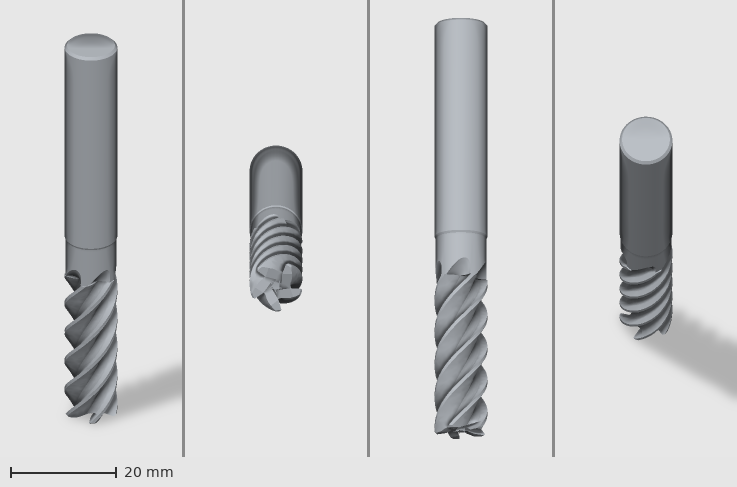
import cadquery as cq
import math

TOTAL_LENGTH = 80.0
SHANK_RADIUS = 5.0
SHANK_START = 38.4
SHANK_TOP_CHAMFER = 0.5
NECK_RADIUS = 4.8
NECK_TAPER_HEIGHT = 0.4

CUT_LENGTH = 30.0
CUT_RADIUS = SHANK_RADIUS
FLUTES = 5
FLUTE_PITCH = 360.0 / FLUTES
HELIX_ANGLE = 45.0
LEAD = 2 * math.pi * CUT_RADIUS / math.tan(math.radians(HELIX_ANGLE))
FIRST_EDGE_ANGLE = 36.0
TIP_CHAMFER = 0.3
DISH_HEIGHT = 0.3
DISH_RADIUS = CUT_RADIUS - TIP_CHAMFER

LAND_ANGLE = 10.0
FLANK_ANGLE = 26.0
FLANK_RADIUS = 3.9
HEEL_ANGLE = 47.0
HEEL_RADIUS = 2.8
CORE_ANGLE = 60.0
CORE_RADIUS = 2.8
RAKE_ANGLE = 72.0
RAKE_RADIUS = 3.6

GASH_INNER_RADIUS = 0.6
GASH_WIDTH = 2.9
GASH_HEIGHT = 1.8
GASH_LEAN = 1.5

RUNOUT_RADIUS = 2.0
RUNOUT_LENGTH = 12.8
RUNOUT_AXIS_RADIUS = 5.1
RUNOUT_ANGLE = 44.0
RUNOUT_DIRECTION = cq.Vector(0.6, 0.75, 1.0).normalized()


def polar(radius, angle):
    """Point in the XY plane at a radius and an angle in degrees."""
    turn = math.radians(angle)
    return (radius * math.cos(turn), radius * math.sin(turn))


def twist_at(height):
    """Rotation of the helical cross-section at a height, in degrees."""
    return 360.0 * height / LEAD


def tooth_section():
    """Closed cross-section of the whole fluted length at the tip."""
    outline = cq.Workplane("XY").moveTo(*polar(CUT_RADIUS, FIRST_EDGE_ANGLE))
    for tooth in range(FLUTES):
        edge = FIRST_EDGE_ANGLE + tooth * FLUTE_PITCH
        outline = (
            outline.threePointArc(
                polar(CUT_RADIUS, edge + LAND_ANGLE / 2), polar(CUT_RADIUS, edge + LAND_ANGLE)
            )
            .threePointArc(
                polar(FLANK_RADIUS, edge + FLANK_ANGLE), polar(HEEL_RADIUS, edge + HEEL_ANGLE)
            )
            .threePointArc(
                polar(CORE_RADIUS, edge + CORE_ANGLE), polar(RAKE_RADIUS, edge + RAKE_ANGLE)
            )
            .lineTo(*polar(CUT_RADIUS, edge + FLUTE_PITCH))
        )
    return outline.close()


def make_gash(tooth):
    """V-notch wedge on the leading side of one cutting edge at the tip."""
    wedge = (
        cq.Workplane("YZ", origin=(GASH_INNER_RADIUS, 0, 0))
        .moveTo(0, 0)
        .lineTo(GASH_LEAN, GASH_HEIGHT)
        .lineTo(-GASH_WIDTH, 0)
        .close()
        .extrude(CUT_RADIUS)
    )
    return wedge.rotate((0, 0, 0), (0, 0, 1), FIRST_EDGE_ANGLE + tooth * FLUTE_PITCH)


def make_corner_ring():
    """Ring below a cone that chamfers the tooth corners at the tip."""
    return (
        cq.Workplane("XZ")
        .moveTo(CUT_RADIUS - 2 * TIP_CHAMFER, -TIP_CHAMFER)
        .lineTo(CUT_RADIUS + TIP_CHAMFER, 2 * TIP_CHAMFER)
        .lineTo(CUT_RADIUS + TIP_CHAMFER, -TIP_CHAMFER)
        .close()
        .revolve(360, (0, 0, 0), (0, 1, 0))
    )


def make_dish():
    """Shallow cone that hollows the end so that only the tooth corners reach the tip."""
    return cq.Workplane(obj=cq.Solid.makeCone(DISH_RADIUS, 0, DISH_HEIGHT))


def make_cutting_section():
    """Fluted body with finished tooth ends at the tip."""
    cutting_section = tooth_section().twistExtrude(CUT_LENGTH, twist_at(CUT_LENGTH))
    cutting_section = cutting_section.cut(make_corner_ring()).cut(make_dish())
    for tooth in range(FLUTES):
        cutting_section = cutting_section.cut(make_gash(tooth))
    return cutting_section


def make_runout(flute):
    """Round groove that carries one flute on and climbs out of the neck."""
    start = cq.Vector(RUNOUT_AXIS_RADIUS, 0, CUT_LENGTH) - RUNOUT_DIRECTION * (RUNOUT_LENGTH / 2)
    groove = cq.Workplane(
        obj=cq.Solid.makeCylinder(RUNOUT_RADIUS, RUNOUT_LENGTH, start, RUNOUT_DIRECTION)
    )
    edge = FIRST_EDGE_ANGLE + flute * FLUTE_PITCH + twist_at(CUT_LENGTH)
    return groove.rotate((0, 0, 0), (0, 0, 1), edge + RUNOUT_ANGLE)


def make_shank():
    """Shank and neck, with the run-out of every flute cut into the neck."""
    neck_top = SHANK_START - NECK_TAPER_HEIGHT
    shank = (
        cq.Workplane("XZ")
        .moveTo(0, CUT_LENGTH)
        .lineTo(NECK_RADIUS, CUT_LENGTH)
        .lineTo(NECK_RADIUS, neck_top)
        .lineTo(SHANK_RADIUS, SHANK_START)
        .lineTo(SHANK_RADIUS, TOTAL_LENGTH - SHANK_TOP_CHAMFER)
        .lineTo(SHANK_RADIUS - SHANK_TOP_CHAMFER, TOTAL_LENGTH)
        .lineTo(0, TOTAL_LENGTH)
        .close()
        .revolve(360, (0, 0, 0), (0, 1, 0))
    )
    for flute in range(FLUTES):
        shank = shank.cut(make_runout(flute))
    return shank


cutting_section = make_cutting_section()
shank = make_shank()
result = cq.Compound.makeCompound([cutting_section.val(), shank.val()])